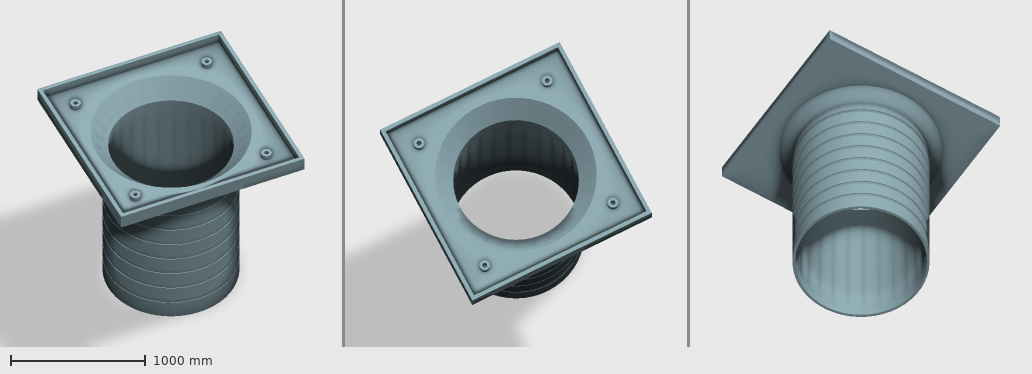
import cadquery as cq

height = 1500.0
tray_side = 1500.0

tray_height = 110.0
rim_width = 30.0
tray_depth = 80.0
tray_bottom_z = height - tray_height
floor_z = height - tray_depth

tube_radius = 1020.0 / 2
bore_top_radius = 467.5
bore_bottom_radius = 490.0

funnel_mouth_radius = 600.0
bore_top_z = floor_z - (funnel_mouth_radius - bore_top_radius)
funnel_outer_radius = 605.0
tube_top_z = tray_bottom_z - (funnel_outer_radius - tube_radius)

groove_radius = 1010.0 / 2
groove_width = 30.0
groove_pitch = 150.0
groove_count = 8
first_groove_z = 140.0

boss_radius = 80.0 / 2
boss_hole_radius = 35.0 / 2
boss_height = 40.0
boss_spacing = 1071.5


def revolve_about_z(profile):
    """Solid of revolution about Z from a closed outline of (radius, z) points."""
    return cq.Workplane("XZ").polyline(profile).close().revolve(360, (0, 0), (0, 1))


def make_tray():
    """Square plate with a rim around a sunken floor."""
    plate = cq.Workplane("XY", origin=(0, 0, tray_bottom_z)).rect(tray_side, tray_side).extrude(tray_height)
    recess_side = tray_side - 2 * rim_width
    recess = cq.Workplane("XY", origin=(0, 0, floor_z)).rect(recess_side, recess_side).extrude(tray_depth)
    return plate.cut(recess)


def make_tube():
    """Solid tube body widening into the funnel under the tray."""
    profile = [
        (0, 0),
        (tube_radius, 0),
        (tube_radius, tube_top_z),
        (funnel_outer_radius, tray_bottom_z),
        (0, tray_bottom_z),
    ]
    return revolve_about_z(profile)


def make_passage():
    """Tapered bore and conical mouth, open from the tray floor to the bottom of the tube."""
    profile = [
        (0, 0),
        (bore_bottom_radius, 0),
        (bore_top_radius, bore_top_z),
        (funnel_mouth_radius, floor_z),
        (0, floor_z),
    ]
    return revolve_about_z(profile)


def make_groove(bottom_z):
    """Ring of material removed from the outside of the tube."""
    return (
        cq.Workplane("XY")
        .workplane(offset=bottom_z)
        .circle(tube_radius)
        .circle(groove_radius)
        .extrude(groove_width)
    )


def make_bosses():
    """Four hollow bosses standing on the tray floor."""
    return (
        cq.Workplane("XY")
        .workplane(offset=floor_z)
        .rect(boss_spacing, boss_spacing, forConstruction=True)
        .vertices()
        .circle(boss_radius)
        .circle(boss_hole_radius)
        .extrude(boss_height)
    )


result = make_tray().union(make_tube()).cut(make_passage())
for index in range(groove_count):
    result = result.cut(make_groove(first_groove_z + index * groove_pitch))
result = result.union(make_bosses())